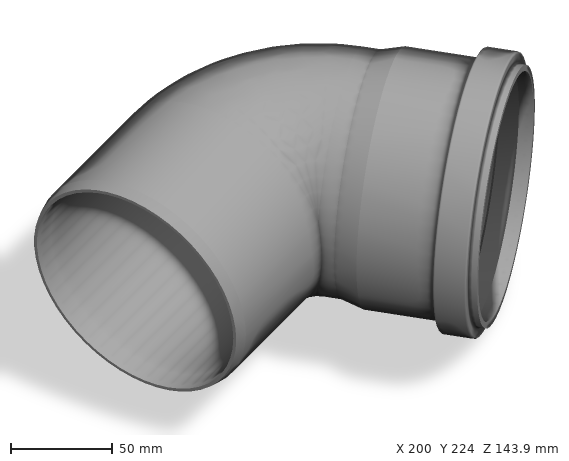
import cadquery as cq
import math

pipe_radius = 125.2 / 2
pipe_bore_radius = 118.4 / 2
bend_angle = 67.5
bend_radius = 58.8
spigot_length = 73.7
lead_in_length = 6.0
lead_in_angle = 15.0

wall = 3.1
socket_radius = 131.9 / 2
bead_radius = 143.9 / 2
lip_radius = 132.1 / 2
neck_length = 9.0
flare_end = 21.0
bore_flare_end = 22.3
bead_back = 60.9
bead_front = 77.8
bead_round = 1.0
socket_length = 82.1


def revolve_about_y(points):
    """Solid of revolution about Y from (radius, station) profile points."""
    profile = cq.Workplane("XY").moveTo(0, points[0][1])
    for radius, station in points:
        profile = profile.lineTo(radius, station)
    profile = profile.lineTo(0, points[-1][1]).close()
    return profile.revolve(360, (0, 0, 0), (0, 1, 0))


def bend(radius):
    """Elbow of the given section radius, the section being cut off flat at the bend axis."""
    half_chord = math.sqrt(radius**2 - bend_radius**2)
    section = (
        cq.Workplane("XZ")
        .moveTo(bend_radius, half_chord)
        .threePointArc((-radius, 0), (bend_radius, -half_chord))
        .close()
    )
    elbow = section.revolve(bend_angle, (bend_radius, 0, 0), (bend_radius, -1, 0))
    return elbow.translate((0, spigot_length, 0))


def at_bend_end(body):
    """Move a body built along +Y from the origin onto the outlet end of the bend."""
    pivot = (bend_radius, spigot_length, 0)
    axis_end = (bend_radius, spigot_length, 1)
    return body.translate((0, spigot_length, 0)).rotate(pivot, axis_end, -bend_angle)


def spigot_outside():
    """Straight spigot with a conical lead-in at its tip."""
    tip_radius = pipe_radius - lead_in_length * math.tan(math.radians(lead_in_angle))
    return revolve_about_y([
        (tip_radius, 0),
        (pipe_radius, lead_in_length),
        (pipe_radius, spigot_length),
    ])


def bead():
    """Seal bead ring with rounded rim corners."""
    ring = revolve_about_y([(bead_radius, bead_back), (bead_radius, bead_front)])
    return ring.edges("%CIRCLE").fillet(bead_round)


def bead_foot(radius, station, direction):
    """Concave fillet ring where the bead side at a station meets a barrel of given radius."""
    far_station = station + direction * bead_round
    arc_offset = bead_round * (1 - math.sqrt(0.5))
    profile = (
        cq.Workplane("XY")
        .moveTo(0, station)
        .lineTo(radius + bead_round, station)
        .threePointArc((radius + arc_offset, station + direction * arc_offset), (radius, far_station))
        .lineTo(0, far_station)
        .close()
    )
    return profile.revolve(360, (0, 0, 0), (0, 1, 0))


def socket_outside():
    """Neck, flare, barrel, bead and end lip of the socket."""
    barrel = revolve_about_y([
        (pipe_radius, 0),
        (pipe_radius, neck_length),
        (socket_radius, flare_end),
        (socket_radius, bead_back),
    ])
    lip = revolve_about_y([(lip_radius, bead_front), (lip_radius, socket_length)])
    body = barrel.union(bead()).union(lip)
    body = body.union(bead_foot(socket_radius, bead_back, -1))
    body = body.union(bead_foot(lip_radius, bead_front, 1))
    return at_bend_end(body)


def spigot_bore():
    """Plain bore through the spigot up to the bend."""
    return revolve_about_y([(pipe_bore_radius, 0), (pipe_bore_radius, spigot_length)])


def socket_bore():
    """Stepped socket bore with the seal groove inside the bead."""
    groove_back = bead_back + wall
    groove_front = bead_front - wall
    return at_bend_end(revolve_about_y([
        (pipe_bore_radius, 0),
        (pipe_bore_radius, neck_length),
        (socket_radius - wall, bore_flare_end),
        (socket_radius - wall, groove_back),
        (bead_radius - wall, groove_back),
        (bead_radius - wall, groove_front),
        (lip_radius - wall, groove_front),
        (lip_radius - wall, socket_length),
    ]))


outside = spigot_outside().union(bend(pipe_radius)).union(socket_outside())
result = outside.cut(spigot_bore()).cut(bend(pipe_bore_radius)).cut(socket_bore())